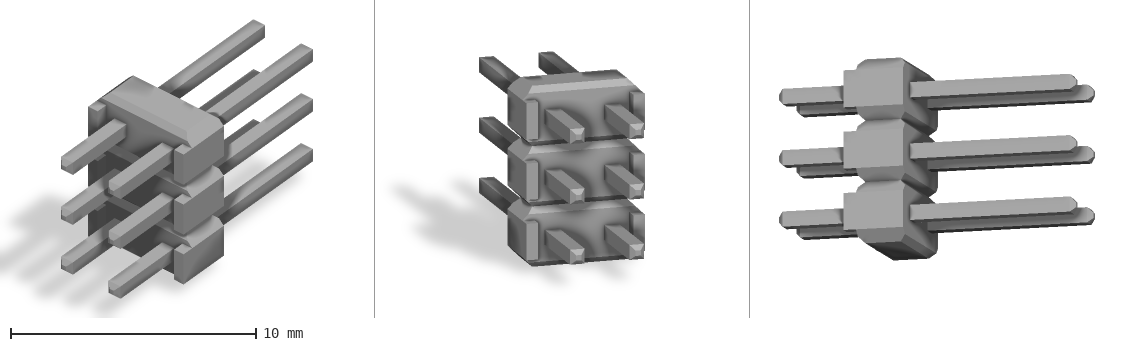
import cadquery as cq


rows = 3
columns = 2
total_height = 7.62
pitch = total_height / rows
body_width = 5.08
body_depth = 2.0
corner_cut = 0.5
edge_chamfer = 0.25
standoff_width = 0.5
standoff_reach = 0.54
pin_side = 0.63
pin_length = 12.6
pin_front_reach = 3.6
tip_taper = 0.2

standoff_height = pitch - 2 * corner_cut


def centred_positions(count):
    """Positions one pitch apart, centred on zero."""
    return [(i - (count - 1) / 2) * pitch for i in range(count)]


def make_block():
    """Plastic block of one row, centred on X and Z."""
    block = (
        cq.Workplane("XY")
        .box(body_width, body_depth, pitch, centered=(True, False, True))
        .edges("|Y")
        .chamfer(corner_cut)
    )
    return block.faces("<Z or >Z").edges("|X").chamfer(edge_chamfer)


def make_standoff(side):
    """Standoff in front of a block, flush with its left (-1) or right (+1) side."""
    centre_x = side * (body_width - standoff_width) / 2
    return (
        cq.Workplane("XY")
        .box(standoff_width, standoff_reach + body_depth, standoff_height, centered=(True, False, True))
        .translate((centre_x, -standoff_reach, 0))
    )


def make_pin():
    """Square pin through the body, tapered at both tips."""
    return (
        cq.Workplane("XY")
        .box(pin_side, pin_length, pin_side, centered=(True, False, True))
        .faces("<Y or >Y")
        .chamfer(tip_taper)
        .translate((0, -pin_front_reach, 0))
    )


def make_row():
    """One block with its standoffs and pins."""
    row = make_block()
    for side in (-1, 1):
        row = row.union(make_standoff(side))
    for x in centred_positions(columns):
        row = row.union(make_pin().translate((x, 0, 0)))
    return row


row = make_row()
row_heights = centred_positions(rows)
result = row.translate((0, 0, row_heights[0]))
for z in row_heights[1:]:
    result = result.union(row.translate((0, 0, z)))